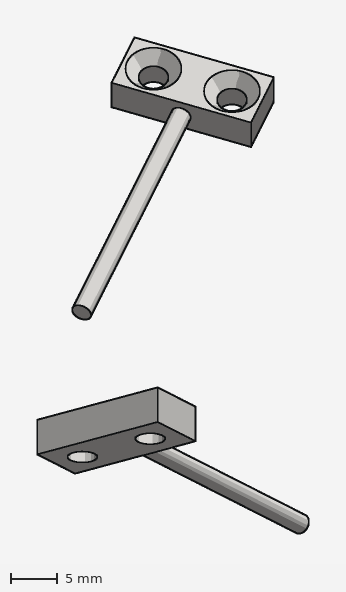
import cadquery as cq

block_length = 16.0
block_width = 6.92
block_height = 4.0

hole_count = 2
hole_spacing = 9.0
hole_diameter = 3.2
countersink_diameter = 6.0
countersink_angle = 90

overall_depth = 37
rod_diameter = 2.2
rod_length = overall_depth - block_width


def make_block():
    """Block centred on the origin, with two countersunk through holes along X."""
    return (
        cq.Workplane("XY")
        .box(block_length, block_width, block_height)
        .faces(">Z")
        .workplane()
        .rarray(hole_spacing, hole_spacing, hole_count, 1)
        .cskHole(hole_diameter, countersink_diameter, countersink_angle)
    )


def make_rod():
    """Rod running from the block's -Y face outward along -Y."""
    return (
        cq.Workplane("XZ", origin=(0, -block_width / 2, 0))
        .circle(rod_diameter / 2)
        .extrude(rod_length)
    )


block = make_block()
rod = make_rod()

result = cq.Compound.makeCompound([block.val(), rod.val()])